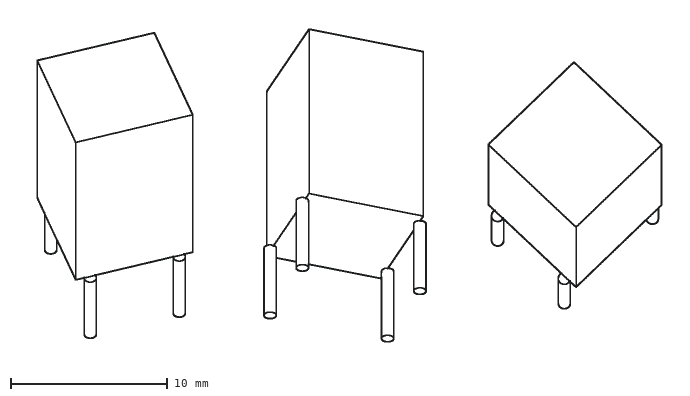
import cadquery as cq

total_height = 17.6
body_width = 7.8
body_depth = 7.9
body_height = 12.5

pin_diameter = 0.8
pin_spacing_x = 8.0
pin_spacing_y = 6.0
pin_length = total_height - body_height


def make_body():
    """Plain rectangular block with its underside at Z = 0."""
    return cq.Workplane("XY").box(
        body_width, body_depth, body_height, centered=(True, True, False)
    )


def make_pin(x, y):
    """Round pin hanging down from the underside level of the body."""
    return cq.Workplane("XY").center(x, y).circle(pin_diameter / 2).extrude(-pin_length)


body = make_body()

pins = []
for side_x in (-1, 1):
    for side_y in (-1, 1):
        pin = make_pin(side_x * pin_spacing_x / 2, side_y * pin_spacing_y / 2)
        pins.append(pin.val())

result = cq.Compound.makeCompound([body.val(), *pins])